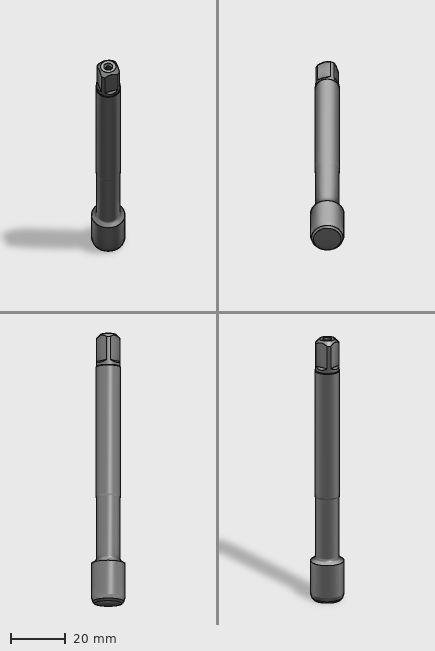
import cadquery as cq
import math

total_length = 100.0

head_radius = 12.2 / 2
head_top = 14.8
lead_height = 2.2
lead_radius = 5.7
nose_height = 0.8
nose_radius = 5.0

neck_radius = 8.7 / 2
neck_top = 39.3
cone_angle = math.radians(33)
neck_fillet = 1.4

shank_radius = 9.0 / 2
shank_bottom = 39.9
shank_top = 87.8
collar_bottom = 88.1

drive_radius = 8.6 / 2
drive_width = 7.0
drive_tip_radius = 2.8
ramp_top = 89.9
ramp_angle = math.radians(45)

bore_radius = 2.0 / 2
countersink_radius = 1.6
countersink_angle = math.radians(60)
bore_depth = 3.0
drill_point_angle = math.radians(120)


def revolve_about_z(profile):
    """Revolve a closed (radius, height) profile about the Z axis."""
    return profile.close().revolve(360, (0, 0, 0), (0, 1, 0))


def make_head():
    """Threading head as a plain envelope with its tapered lead and nose."""
    profile = cq.Workplane("XZ").polyline([
        (0, 0),
        (nose_radius, 0),
        (lead_radius, nose_height),
        (head_radius, lead_height),
        (head_radius, head_top),
        (0, head_top),
    ])
    return revolve_about_z(profile)


def make_round_shank():
    """Turned blank of the shank, from the cone on the head to the drive tip."""
    corner_z = head_top + (head_radius - neck_radius) * math.tan(cone_angle)
    turn_angle = math.pi / 2 - cone_angle
    tangent_length = neck_fillet * math.tan(turn_angle / 2)
    fillet_start = (
        neck_radius + tangent_length * math.cos(cone_angle),
        corner_z - tangent_length * math.sin(cone_angle),
    )
    fillet_end = (neck_radius, corner_z + tangent_length)
    fillet_middle = (
        neck_radius + neck_fillet * (1 - math.cos(turn_angle / 2)),
        fillet_end[1] - neck_fillet * math.sin(turn_angle / 2),
    )
    tip_chamfer = drive_radius - drive_tip_radius

    profile = (
        cq.Workplane("XZ")
        .moveTo(0, head_top)
        .lineTo(head_radius, head_top)
        .lineTo(*fillet_start)
        .threePointArc(fillet_middle, fillet_end)
        .lineTo(neck_radius, neck_top)
        .lineTo(shank_radius, shank_bottom)
        .lineTo(shank_radius, shank_top)
        .lineTo(drive_radius, collar_bottom)
        .lineTo(drive_radius, total_length - tip_chamfer)
        .lineTo(drive_tip_radius, total_length)
        .lineTo(0, total_length)
    )
    return revolve_about_z(profile)


def make_flat_cutter():
    """Cutter for the +X drive flat, with a sloping ramp at its lower end."""
    flat_x = drive_width / 2
    outer_x = 2 * drive_radius
    ramp_outer_z = ramp_top - (outer_x - flat_x) * math.tan(ramp_angle)
    return (
        cq.Workplane("XZ")
        .polyline([
            (flat_x, ramp_top),
            (outer_x, ramp_outer_z),
            (outer_x, total_length),
            (flat_x, total_length),
        ])
        .close()
        .extrude(drive_radius, both=True)
    )


def make_centre_hole():
    """Countersunk centre hole with a drill-point bottom."""
    countersink_depth = (countersink_radius - bore_radius) / math.tan(countersink_angle / 2)
    point_depth = bore_radius / math.tan(drill_point_angle / 2)
    bore_bottom = total_length - bore_depth
    profile = cq.Workplane("XZ").polyline([
        (0, total_length),
        (countersink_radius, total_length),
        (bore_radius, total_length - countersink_depth),
        (bore_radius, bore_bottom),
        (0, bore_bottom - point_depth),
    ])
    return revolve_about_z(profile)


def make_shank():
    """Neck, shank and square drive as one body."""
    shank = make_round_shank()
    flat_cutter = make_flat_cutter()
    for angle in (0, 90, 180, 270):
        shank = shank.cut(flat_cutter.rotate((0, 0, 0), (0, 0, 1), angle))
    return shank.cut(make_centre_hole())


head = make_head()
shank = make_shank()

result = cq.Compound.makeCompound([head.val(), shank.val()])